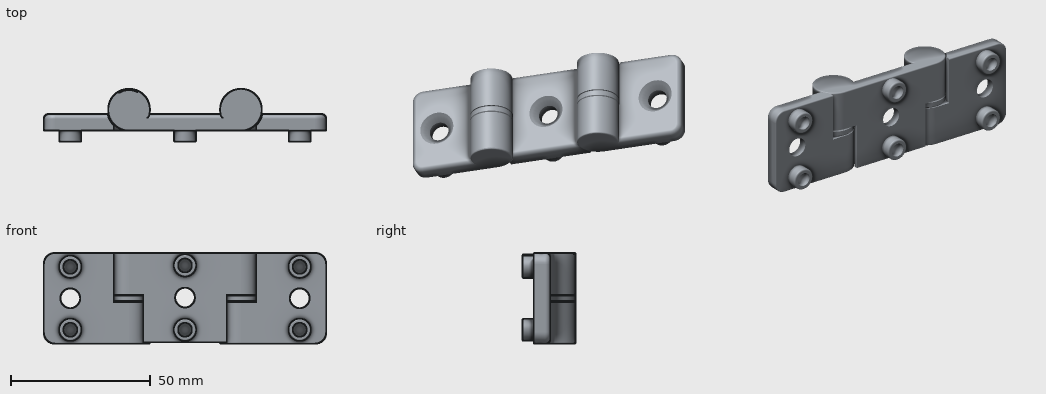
import cadquery as cq

total_length = 101.0
total_height = 32.5
leaf_thickness = 6.0
top_z = total_height / 2
bottom_z = -top_z
end_x = total_length / 2

knuckle_radius = 7.5
axis_x = 20.0
axis_y = knuckle_radius

corner_radius = 4.0
back_fillet = 1.75
edge_round = 0.5
centre_bottom_gap = 0.5
centre_bottom_z = bottom_z + centre_bottom_gap

swing_radius = 7.8
end_relief = 5.4
centre_relief = 5.0

end_hole_x = 41.0
through_diameter = 7.0
sink_diameter = 12.4
boss_diameter = 8.0
boss_height = 4.0
boss_round = 0.6
boss_bore_diameter = 5.0
boss_bore_depth = 8.0
end_boss_pitch = 22.5
centre_boss_pitch = 23.0

collar_thickness = 2.7
collar_chamfer = 0.5
stem_diameter = 6.0
stem_length = 12.0
seat_z = collar_thickness / 2
stem_end_z = seat_z + stem_length


def box(x_min, x_max, y_min, y_max, z_min, z_max):
    size = (x_max - x_min, y_max - y_min, z_max - z_min)
    return cq.Workplane("XY").box(*size, centered=False).translate((x_min, y_min, z_min))


def cylinder_z(x, radius, z_min, z_max):
    """Cylinder around the pin axis at x."""
    return cq.Workplane("XY", origin=(x, axis_y, z_min)).circle(radius).extrude(z_max - z_min)


def cylinder_y(x, z, diameter, y_min, y_max):
    """Cylinder square to the leaves."""
    return cq.Workplane("XZ", origin=(x, y_min, z)).circle(diameter / 2).extrude(y_min - y_max)


def make_sink(x, z):
    """Right-angled countersink at the back of a through hole."""
    depth = (sink_diameter - through_diameter) / 2
    cone = cq.Solid.makeCone(
        sink_diameter / 2,
        through_diameter / 2,
        depth,
        pnt=cq.Vector(x, leaf_thickness, z),
        dir=cq.Vector(0, -1, 0),
    )
    return cq.Workplane(cone)


def add_mounting(leaf, x, z, boss_pitch):
    """Two bored bosses on the flat face with a countersunk through hole midway between them."""
    bore_end = boss_bore_depth - boss_height
    for boss_z in (z - boss_pitch / 2, z + boss_pitch / 2):
        boss = cylinder_y(x, boss_z, boss_diameter, -boss_height, 0)
        leaf = leaf.union(boss.faces("<Y").edges().fillet(boss_round))
        leaf = leaf.cut(cylinder_y(x, boss_z, boss_bore_diameter, -boss_height, bore_end))
    leaf = leaf.cut(cylinder_y(x, z, through_diameter, 0, leaf_thickness))
    return leaf.cut(make_sink(x, z))


def swing_cut(x, side, relief, z_min, z_max):
    """Round pocket around the pin axis, opened to the flat face by a straight relief.

    The leaf lies on the +X side of the axis for side = 1, on the -X side for side = -1.
    """
    pocket = cylinder_z(x, swing_radius, z_min, z_max)
    relief_x = sorted((x - side * swing_radius, x + side * relief))
    return pocket.union(box(*relief_x, 0, axis_y, z_min, z_max))


def make_right_leaf():
    """End leaf on the +X side, with its knuckle in the lower half."""
    leaf = box(axis_x, end_x, 0, leaf_thickness, bottom_z, top_z)
    leaf = leaf.edges("|Y and >X").fillet(corner_radius)
    leaf = leaf.faces(">Y").edges("not(<X)").fillet(back_fillet)
    leaf = leaf.faces("<Y").edges("not(<X)").fillet(edge_round)
    leaf = leaf.cut(swing_cut(axis_x, 1, end_relief, -seat_z, top_z))
    knuckle = cylinder_z(axis_x, knuckle_radius, bottom_z, -seat_z)
    leaf = leaf.union(knuckle.faces("<Z").edges().fillet(edge_round))
    leaf = leaf.cut(cylinder_z(axis_x, stem_diameter / 2, -stem_end_z, -seat_z))
    return add_mounting(leaf, end_hole_x, 0, end_boss_pitch)


def make_centre_leaf():
    """Leaf between the joints, with a knuckle at each end of its upper half."""
    leaf = box(-axis_x, axis_x, 0, leaf_thickness, centre_bottom_z, top_z)
    leaf = leaf.faces(">Y").edges("|X").fillet(back_fillet)
    leaf = leaf.edges("<Y and >Z").fillet(edge_round)
    for side in (-1, 1):
        x = side * axis_x
        leaf = leaf.cut(swing_cut(x, -side, centre_relief, centre_bottom_z, seat_z))
        knuckle = cylinder_z(x, knuckle_radius, seat_z, top_z)
        leaf = leaf.union(knuckle.faces(">Z").edges().fillet(edge_round))
        leaf = leaf.cut(cylinder_z(x, stem_diameter / 2, seat_z, stem_end_z))
    return add_mounting(leaf, 0, (top_z + centre_bottom_z) / 2, centre_boss_pitch)


def make_pin(x):
    """Chamfered collar with a stem reaching into the knuckles above and below."""
    collar = cylinder_z(x, knuckle_radius, -seat_z, seat_z).edges().chamfer(collar_chamfer)
    return collar.union(cylinder_z(x, stem_diameter / 2, -stem_end_z, stem_end_z))


right_leaf = make_right_leaf()
left_leaf = right_leaf.mirror("YZ")
centre_leaf = make_centre_leaf()
pins = [make_pin(side * axis_x) for side in (-1, 1)]

result = cq.Compound.makeCompound(
    [
        left_leaf.val(),
        centre_leaf.val(),
        right_leaf.val(),
        *[pin.val() for pin in pins],
    ]
)